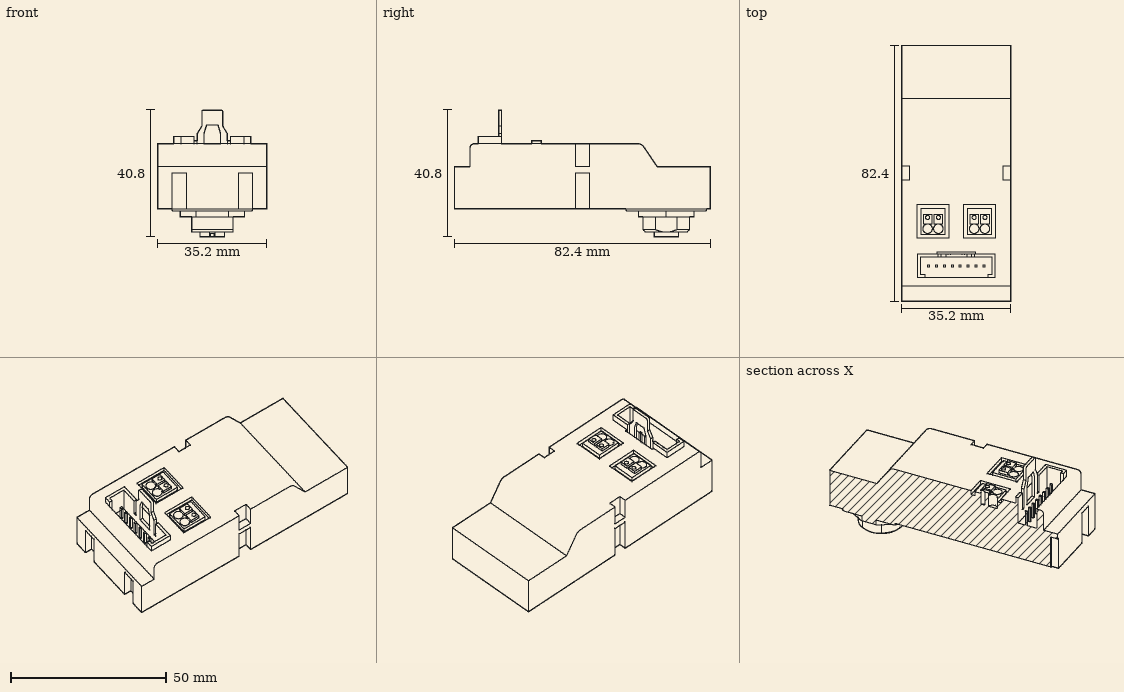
import cadquery as cq

LENGTH = 82.4
WIDTH = 35.2
SHOULDER_Z = 13.6
TOP_Z = 21.0
RAMP_FOOT_Y = 24.15
RAMP_TOP_Y = 19.1
RAMP_ROUND = 2.5
FRONT_STEP = 5.0
FRONT_ROUND = 1.5

GROOVE_WIDTH = 4.5
GROOVE_DEPTH = 2.5
LOWER_GROOVE_TOP_Z = 11.5
SIDE_GROOVE_Y = 0.1
FRONT_GROOVE_X = 10.6

TERMINAL_X = 7.5
POCKET_SIZE = (10.3, 10.8)
POCKET_Y = -15.3
POCKET_DEPTH = 1.5
BLOCK_SIZE = (7.8, 8.5)
BLOCK_Y = -15.5
WAY_PITCH = 3.5
BUTTON_SIZE = (2.8, 3.1)
BUTTON_Y = -14.75
BUTTON_RISE = 1.0
PROBE_HOLE_DIAMETER = 1.3
PROBE_HOLE_Y = -14.2
WIRE_HOLE_DIAMETER = 3.05
WIRE_HOLE_Y = -17.8
TERMINAL_HOLE_DEPTH = 4.1

HEADER_LENGTH = 24.9
HEADER_FRONT_Y = -33.5
HEADER_BACK_Y = -25.95
HEADER_WALL = 1.0
HEADER_TOP_Z = 23.3
CAVITY_FLOOR_Z = SHOULDER_Z
FRONT_OPENING = 20.3
BACK_OPENING = 11.7
BACK_OPENING_FLOOR_Z = 16.9
RELIEF_LENGTH = 12.4
RELIEF_DEPTH = 0.7
PIN_COUNT = 8
PIN_ROW_LENGTH = 17.8
PIN_SIZE = 0.7
PIN_Y = -29.75
PIN_TOP_Z = 18.9

LATCH_TOP_Z = 31.8
LATCH_HEAD_HALF = 3.4
LATCH_HEAD_BOTTOM_Z = 26.7
LATCH_FOOT_HALF = 4.9
LATCH_FOOT_TOP_Z = 24.2
LATCH_CORNER_RADIUS = 0.6
WINDOW_TOP_Z = 26.95
WINDOW_TOP_HALF = 1.8
WINDOW_FOOT_HALF = 2.6

CONNECTOR_Y = 27.0
WASHER_DIAMETER = 26.0
WASHER_THICKNESS = 0.75
WASHER_ROUND = 0.5
HEX_ACROSS_CORNERS = 20.8
HEX_THICKNESS = 1.8
BARREL_DIAMETER = 15.0
BARREL_ACROSS_FLATS = 13.35
BARREL_LENGTH = 4.95
BARREL_CHAMFER = 0.8
INSERT_DIAMETER = 8.0
INSERT_LENGTH = 1.5
KEYWAY_DIAMETER = 1.7
KEY_SIZE = (1.2, 1.0)
KEY_LENGTH = 1.1


def box(x_range, y_range, z_range):
    """Box between the given limits along each axis."""
    corners = list(zip(x_range, y_range, z_range))
    size = [high - low for low, high in zip(*corners)]
    return cq.Workplane("XY").box(*size, centered=False).translate(corners[0])


def column(center, size, z_range):
    """Upright block with a rectangular footprint centred on a point."""
    x_range = (center[0] - size[0] / 2, center[0] + size[0] / 2)
    y_range = (center[1] - size[1] / 2, center[1] + size[1] / 2)
    return box(x_range, y_range, z_range)


def cylinder(center, diameter, z_range):
    """Upright cylinder between two heights."""
    base = cq.Workplane("XY", origin=(*center, z_range[0]))
    return base.circle(diameter / 2).extrude(z_range[1] - z_range[0])


def housing():
    """Stepped profile extruded across the width, with both top edges rounded."""
    front_y = -LENGTH / 2 + FRONT_STEP
    profile = [
        (-LENGTH / 2, 0),
        (LENGTH / 2, 0),
        (LENGTH / 2, SHOULDER_Z),
        (RAMP_FOOT_Y, SHOULDER_Z),
        (RAMP_TOP_Y, TOP_Z),
        (front_y, TOP_Z),
        (front_y, SHOULDER_Z),
        (-LENGTH / 2, SHOULDER_Z),
    ]
    body = cq.Workplane("YZ").polyline(profile).close().extrude(WIDTH / 2, both=True)
    body = body.faces(">Z").edges(">Y").fillet(RAMP_ROUND)
    return body.faces(">Z").edges("<Y").fillet(FRONT_ROUND)


def cut_grooves(body):
    """Vertical grooves: two in each long side and two in the front face."""
    for side in (-1, 1):
        side_center = (side * WIDTH / 2, SIDE_GROOVE_Y)
        side_size = (2 * GROOVE_DEPTH, GROOVE_WIDTH)
        body = body.cut(column(side_center, side_size, (SHOULDER_Z, TOP_Z)))
        body = body.cut(column(side_center, side_size, (0, LOWER_GROOVE_TOP_Z)))

        front_center = (side * FRONT_GROOVE_X, -LENGTH / 2)
        front_size = (GROOVE_WIDTH, 2 * GROOVE_DEPTH)
        body = body.cut(column(front_center, front_size, (0, LOWER_GROOVE_TOP_Z)))
    return body


def add_terminal(body, x):
    """Pocket with a flush block, carrying a raised button and two holes per way."""
    pocket_range = (TOP_Z - POCKET_DEPTH, TOP_Z)
    button_top = TOP_Z + BUTTON_RISE
    hole_range = (TOP_Z - TERMINAL_HOLE_DEPTH, button_top)
    body = body.cut(column((x, POCKET_Y), POCKET_SIZE, pocket_range))
    body = body.union(column((x, BLOCK_Y), BLOCK_SIZE, pocket_range))
    for way_x in (x - WAY_PITCH / 2, x + WAY_PITCH / 2):
        body = body.cut(cylinder((way_x, WIRE_HOLE_Y), WIRE_HOLE_DIAMETER, hole_range))
        body = body.union(column((way_x, BUTTON_Y), BUTTON_SIZE, hole_range))
        body = body.cut(cylinder((way_x, PROBE_HOLE_Y), PROBE_HOLE_DIAMETER, hole_range))
    return body


def add_header(body):
    """Walled socket sunk into the housing, with a row of square pins."""
    half = HEADER_LENGTH / 2
    inner_half = half - HEADER_WALL
    inner_front_y = HEADER_FRONT_Y + HEADER_WALL
    inner_back_y = HEADER_BACK_Y - HEADER_WALL
    depth_range = (CAVITY_FLOOR_Z, HEADER_TOP_Z)

    relief_y = (HEADER_BACK_Y, HEADER_BACK_Y + RELIEF_DEPTH)
    relief_x = (-RELIEF_LENGTH / 2, RELIEF_LENGTH / 2)
    body = body.cut(box(relief_x, relief_y, (CAVITY_FLOOR_Z, TOP_Z)))

    body = body.union(box((-half, half), (HEADER_FRONT_Y, HEADER_BACK_Y), depth_range))
    body = body.cut(box((-inner_half, inner_half), (inner_front_y, inner_back_y), depth_range))

    front_x = (-FRONT_OPENING / 2, FRONT_OPENING / 2)
    body = body.cut(box(front_x, (HEADER_FRONT_Y, inner_front_y), depth_range))
    back_x = (-BACK_OPENING / 2, BACK_OPENING / 2)
    back_z = (BACK_OPENING_FLOOR_Z, HEADER_TOP_Z)
    body = body.cut(box(back_x, (inner_back_y, HEADER_BACK_Y), back_z))

    for index in range(PIN_COUNT):
        pin_x = PIN_ROW_LENGTH * (index / (PIN_COUNT - 1) - 0.5)
        pin_range = (CAVITY_FLOOR_Z, PIN_TOP_Z)
        body = body.union(column((pin_x, PIN_Y), (PIN_SIZE, PIN_SIZE), pin_range))
    return body


def upright_plate(right_half):
    """Plate as thick as the header's back wall, mirrored about X = 0."""
    left_half = [(-x, z) for x, z in reversed(right_half)]
    plane = cq.Workplane("XZ", origin=(0, HEADER_BACK_Y, 0))
    return plane.polyline(right_half + left_half).close().extrude(HEADER_WALL)


def latch():
    """Flat clip with a wide foot, a narrow head and a tapered window."""
    plate = upright_plate([
        (LATCH_FOOT_HALF, BACK_OPENING_FLOOR_Z),
        (LATCH_FOOT_HALF, LATCH_FOOT_TOP_Z),
        (LATCH_HEAD_HALF, LATCH_HEAD_BOTTOM_Z),
        (LATCH_HEAD_HALF, LATCH_TOP_Z),
    ])
    window = upright_plate([
        (WINDOW_FOOT_HALF, BACK_OPENING_FLOOR_Z),
        (WINDOW_FOOT_HALF, LATCH_FOOT_TOP_Z),
        (WINDOW_TOP_HALF, WINDOW_TOP_Z),
    ])
    plate = plate.faces(">Z").edges("|Y").fillet(LATCH_CORNER_RADIUS)
    return plate.cut(window)


def round_connector():
    """Washer, hexagon nut, flatted barrel and insert with a keyway, stacked downwards."""
    center = (0, CONNECTOR_Y)
    washer_z = -WASHER_THICKNESS
    hex_z = washer_z - HEX_THICKNESS
    barrel_z = hex_z - BARREL_LENGTH
    insert_z = barrel_z - INSERT_LENGTH

    washer = cylinder(center, WASHER_DIAMETER, (washer_z, 0))
    washer = washer.faces("<Z").edges().fillet(WASHER_ROUND)

    hex_plane = cq.Workplane("XY", origin=(*center, hex_z))
    hexagon = hex_plane.polygon(6, HEX_ACROSS_CORNERS).extrude(HEX_THICKNESS)

    barrel = cylinder(center, BARREL_DIAMETER, (barrel_z, hex_z))
    barrel = barrel.faces("<Z").edges().chamfer(BARREL_CHAMFER)
    flats = column(center, (BARREL_ACROSS_FLATS, BARREL_DIAMETER), (barrel_z, hex_z))
    barrel = barrel.intersect(flats)

    insert = cylinder(center, INSERT_DIAMETER, (insert_z, barrel_z))
    keyway_center = (0, CONNECTOR_Y - INSERT_DIAMETER / 2)
    insert = insert.cut(cylinder(keyway_center, KEYWAY_DIAMETER, (insert_z, barrel_z)))
    key_center = (0, keyway_center[1] + KEYWAY_DIAMETER / 2)
    insert = insert.union(column(key_center, KEY_SIZE, (insert_z, insert_z + KEY_LENGTH)))

    return washer.union(hexagon).union(barrel).union(insert)


result = cut_grooves(housing())
for terminal_x in (-TERMINAL_X, TERMINAL_X):
    result = add_terminal(result, terminal_x)
result = add_header(result).union(latch()).union(round_connector())